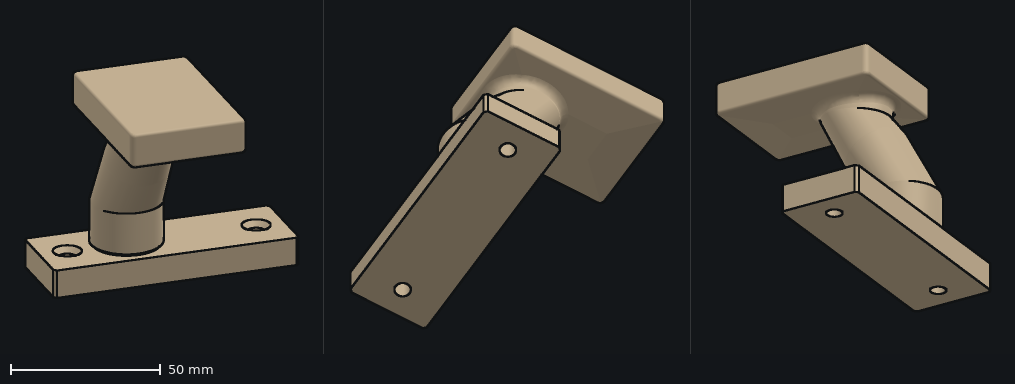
import cadquery as cq
import math

PLATE_X = 30.0
PLATE_Y = 87.0
PLATE_Z = 10.0
PLATE_CHAMFER = 1.05
SCREW_PITCH = 67.0
SCREW_DIA = 5.5
COUNTERSINK_DIA = 9.75
COUNTERSINK_ANGLE = 90.0

HEAD_X = 60.0
HEAD_Y = 41.1
HEAD_RIGHT_X = 62.5
HEAD_TOP_Z = 77.0
HEAD_BLOCK_Z = 12.0
HEAD_CROWN = 1.0
HEAD_FLAT_INSET = 14.35
HEAD_CORNER_RADIUS = 2.0
HEAD_EDGE_RADIUS = 1.1

SPACER_DIA = 23.0
SPACER_Z = 1.0

ARM_Y = -12.5
COLLAR_DIA = 25.0
BEND_Z = 25.7
LEAN_ANGLE = 30.0
STEM_LENGTH = 21.75
STEM_END_DIA = 23.6
BAND_LENGTH = 0.5
NECK_LEFT_X = 6.35
NECK_START_LEFT_Z = 57.9
NECK_START_RIGHT_X = 31.8
NECK_START_RIGHT_Z = 60.4
NECK_START_Y_WIDTH = 21.1
NECK_END_RIGHT_X = 34.4
NECK_FILLET = 3.0

JOINT_MARGIN = 0.9

HEAD_CENTER_X = HEAD_RIGHT_X - HEAD_X / 2
HEAD_CENTER_Z = HEAD_TOP_Z - HEAD_CROWN - HEAD_BLOCK_Z / 2
HEAD_BOTTOM_Z = 2 * HEAD_CENTER_Z - HEAD_TOP_Z
NECK_END_Z = HEAD_CENTER_Z
COLLAR_BASE_Z = PLATE_Z + SPACER_Z
LEAN = math.radians(LEAN_ANGLE)
LEAN_DIRECTION = cq.Vector(math.sin(LEAN), 0, math.cos(LEAN))
BEND_POINT = cq.Vector(0, ARM_Y, BEND_Z)


def make_base_plate():
    """Flat plate with chamfered upright edges and two countersunk screw holes."""
    return (
        cq.Workplane("XY")
        .box(PLATE_X, PLATE_Y, PLATE_Z, centered=(True, True, False))
        .edges("|Z")
        .chamfer(PLATE_CHAMFER)
        .faces(">Z")
        .workplane()
        .pushPoints([(0, -SCREW_PITCH / 2), (0, SCREW_PITCH / 2)])
        .cskHole(SCREW_DIA, COUNTERSINK_DIA, COUNTERSINK_ANGLE)
    )


def make_spacer():
    """Plain disc lying on the plate under the collar."""
    return (
        cq.Workplane("XY", origin=(0, ARM_Y, PLATE_Z))
        .circle(SPACER_DIA / 2)
        .extrude(SPACER_Z)
    )


def crowned_bar(plane, span, length):
    """Bar with sloping shoulders above and below, square to the given plane."""
    half_span = span / 2
    half_flat = half_span - HEAD_FLAT_INSET
    half_block = HEAD_BLOCK_Z / 2
    half_height = half_block + HEAD_CROWN
    profile = [
        (half_span, half_block),
        (half_flat, half_height),
        (-half_flat, half_height),
        (-half_span, half_block),
        (-half_span, -half_block),
        (-half_flat, -half_height),
        (half_flat, -half_height),
        (half_span, -half_block),
    ]
    return (
        cq.Workplane(plane, origin=(HEAD_CENTER_X, ARM_Y, HEAD_CENTER_Z))
        .polyline(profile)
        .close()
        .extrude(length / 2, both=True)
    )


def make_head():
    """Block with hipped crowns above and below and rounded outer edges."""
    head = crowned_bar("XZ", HEAD_X, HEAD_Y).intersect(crowned_bar("YZ", HEAD_Y, HEAD_X))
    head = head.edges("|Z").fillet(HEAD_CORNER_RADIUS)
    return head.faces("#Z").edges("not |Z").fillet(HEAD_EDGE_RADIUS)


def stem_circle(diameter, distance):
    """Circle square to the leaning axis, at a distance from the bend."""
    return cq.Wire.makeCircle(diameter / 2, BEND_POINT + LEAN_DIRECTION * distance, LEAN_DIRECTION)


def neck_oval(left_x, left_z, right_x, right_z, y_width):
    """Ellipse whose long axis joins the two given points in the arm's middle plane."""
    left = cq.Vector(left_x, ARM_Y, left_z)
    right = cq.Vector(right_x, ARM_Y, right_z)
    across = right - left
    normal = across.cross(cq.Vector(0, 1, 0))
    return cq.Wire.makeEllipse(across.Length / 2, y_width / 2, (left + right) * 0.5, normal, across)


def make_arm():
    """Collar, leaning stem, narrow band and oval neck joined into one solid."""
    collar = (
        cq.Workplane("XY", origin=(0, ARM_Y, COLLAR_BASE_Z))
        .circle(COLLAR_DIA / 2)
        .extrude(BEND_Z - COLLAR_BASE_Z)
    )
    collar_top = cq.Wire.makeCircle(COLLAR_DIA / 2, BEND_POINT, cq.Vector(0, 0, 1))
    band_start = stem_circle(STEM_END_DIA, STEM_LENGTH)
    band_end = stem_circle(STEM_END_DIA, STEM_LENGTH + BAND_LENGTH)
    neck_start = neck_oval(
        NECK_LEFT_X, NECK_START_LEFT_Z, NECK_START_RIGHT_X, NECK_START_RIGHT_Z, NECK_START_Y_WIDTH
    )
    neck_end = neck_oval(NECK_LEFT_X, NECK_END_Z, NECK_END_RIGHT_X, NECK_END_Z, NECK_START_Y_WIDTH)
    sections = [collar_top, band_start, band_end, neck_start, neck_end]
    arm = collar
    for lower, upper in zip(sections, sections[1:]):
        arm = arm.union(cq.Workplane(cq.Solid.makeLoft([lower, upper], True)))
    return arm


def make_handle():
    """Head and arm as one solid, with a fillet where the neck meets the head."""
    half_reach = NECK_START_Y_WIDTH / 2 + JOINT_MARGIN
    around_joint = cq.selectors.BoxSelector(
        (NECK_LEFT_X - JOINT_MARGIN, ARM_Y - half_reach, HEAD_BOTTOM_Z - JOINT_MARGIN),
        (NECK_END_RIGHT_X, ARM_Y + half_reach, HEAD_BOTTOM_Z + JOINT_MARGIN),
    )
    return make_head().union(make_arm()).edges(around_joint).fillet(NECK_FILLET)


base_plate = make_base_plate()
spacer = make_spacer()
handle = make_handle()
result = cq.Compound.makeCompound([base_plate.solids().val(), spacer.val(), handle.solids().val()])